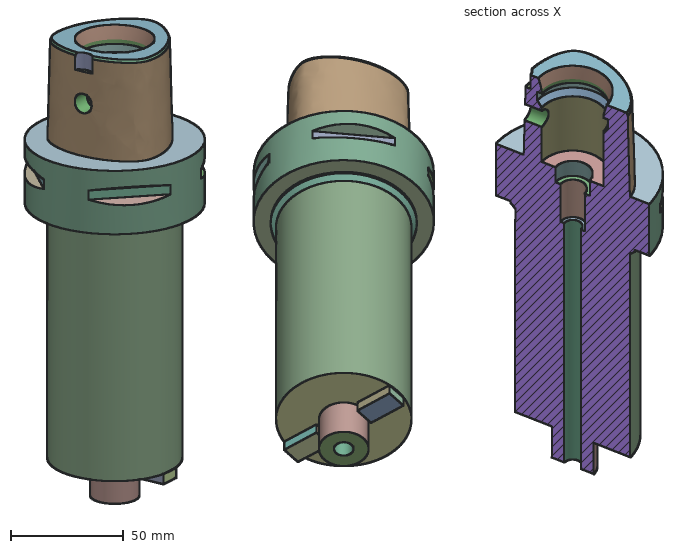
import cadquery as cq
import math

total_height = 216.0
flange_top = 168.5
flange_bottom = 138.5
collar_height = 0.9
collar_bottom = 135.2
body_bottom = 18.0
key_bottom = 13.0

flange_radius = 40.0
collar_radius = 32.5
body_radius = 30.0
pilot_radius = 11.0

shank_base_width = 55.5
shank_taper = 0.05
shank_lobe_height = 2.2
shank_curve_points = 36
shank_chamfer_height = 1.3
shank_chamfer_inset = 0.6

socket_radius = 17.7
lip_radius = 16.0
relief_radius = 18.4
lip_start_depth = 6.5
lip_end_depth = 8.5
relief_end_depth = 13.2
relief_cone_depth = 16.2
socket_depth = total_height - flange_top

screw_seat_radius = 8.9
screw_seat_depth = 8.6
screw_clearance_radius = 6.3
screw_clearance_depth = 21.5
through_radius = 4.3

side_hole_radius = 4.5
side_hole_z = 193.0
notch_radius = 6.0
notch_inner_distance = 22.0
notch_depth = 8.0

groove_count = 4
groove_first_angle = 45.0
groove_z = 156.4
groove_floor_distance = 35.5
groove_floor_width = 4.3
groove_mouth_width = 8.6

key_width = 10.0
key_inner_distance = 11.5
key_outer_distance = 29.5


def lobed_point(width, angle):
    """Point on a constant-width curve with three lobes, one pointing to +Y."""
    lobe_angle = 3 * (angle - math.pi / 2)
    support = width / 2 + shank_lobe_height * math.cos(lobe_angle)
    slope = -3 * shank_lobe_height * math.sin(lobe_angle)
    x = support * math.cos(angle) - slope * math.sin(angle)
    y = support * math.sin(angle) + slope * math.cos(angle)
    return x, y


def lobed_outline(width):
    step = 2 * math.pi / shank_curve_points
    return [lobed_point(width, -math.pi / 2 + i * step) for i in range(shank_curve_points)]


def make_shank():
    height = total_height - flange_top
    top_width = shank_base_width - shank_taper * height
    shank = (
        cq.Workplane("XY", origin=(0, 0, flange_top))
        .spline(lobed_outline(shank_base_width), periodic=True)
        .close()
        .workplane(offset=height)
        .spline(lobed_outline(top_width), periodic=True)
        .close()
        .loft(ruled=True)
    )
    return shank.faces(">Z").edges().chamfer(shank_chamfer_height, shank_chamfer_inset)


def make_turned_body():
    profile = [
        (0, 0),
        (pilot_radius, 0),
        (pilot_radius, body_bottom),
        (body_radius, body_bottom),
        (body_radius, collar_bottom),
        (collar_radius, flange_bottom - collar_height),
        (collar_radius, flange_bottom),
        (flange_radius, flange_bottom),
        (flange_radius, flange_top),
        (0, flange_top),
    ]
    return cq.Workplane("XZ").polyline(profile).close().revolve(360, (0, 0), (0, 1))


def make_bore():
    socket_floor = total_height - socket_depth
    seat_floor = socket_floor - screw_seat_depth
    clearance_floor = seat_floor - screw_clearance_depth
    profile = [
        (0, 0),
        (through_radius, 0),
        (through_radius, clearance_floor),
        (screw_clearance_radius, clearance_floor),
        (screw_clearance_radius, seat_floor),
        (screw_seat_radius, seat_floor),
        (screw_seat_radius, socket_floor),
        (lip_radius, socket_floor),
        (lip_radius, total_height - relief_cone_depth),
        (relief_radius, total_height - relief_end_depth),
        (relief_radius, total_height - lip_end_depth),
        (lip_radius, total_height - lip_end_depth),
        (lip_radius, total_height - lip_start_depth),
        (socket_radius, total_height),
        (0, total_height),
    ]
    return cq.Workplane("XZ").polyline(profile).close().revolve(360, (0, 0), (0, 1))


def make_side_hole():
    return (
        cq.Workplane("XZ", origin=(0, 0, side_hole_z))
        .circle(side_hole_radius)
        .extrude(shank_base_width)
    )


def make_notch():
    notch_center_y = -(notch_inner_distance + notch_radius)
    return (
        cq.Workplane("XY", origin=(0, notch_center_y, total_height))
        .circle(notch_radius)
        .extrude(-notch_depth)
    )


def make_groove(angle):
    """Straight V-sided groove with a flat floor, facing outward at the given angle."""
    half_floor = groove_floor_width / 2
    half_mouth = groove_mouth_width / 2
    profile = [
        (groove_floor_distance, groove_z - half_floor),
        (flange_radius, groove_z - half_mouth),
        (flange_radius, groove_z + half_mouth),
        (groove_floor_distance, groove_z + half_floor),
    ]
    groove = cq.Workplane("XZ").polyline(profile).close().extrude(flange_radius, both=True)
    return groove.rotate((0, 0, 0), (0, 0, 1), angle)


def make_key(side):
    key_length = key_outer_distance - key_inner_distance
    key_center_x = side * (key_inner_distance + key_outer_distance) / 2
    return (
        cq.Workplane("XY", origin=(key_center_x, 0, key_bottom))
        .rect(key_length, key_width)
        .extrude(body_bottom - key_bottom)
    )


result = make_turned_body().union(make_shank())
for side in (-1, 1):
    result = result.union(make_key(side))
for i in range(groove_count):
    result = result.cut(make_groove(groove_first_angle + i * 360 / groove_count))
result = result.cut(make_bore()).cut(make_side_hole()).cut(make_notch())